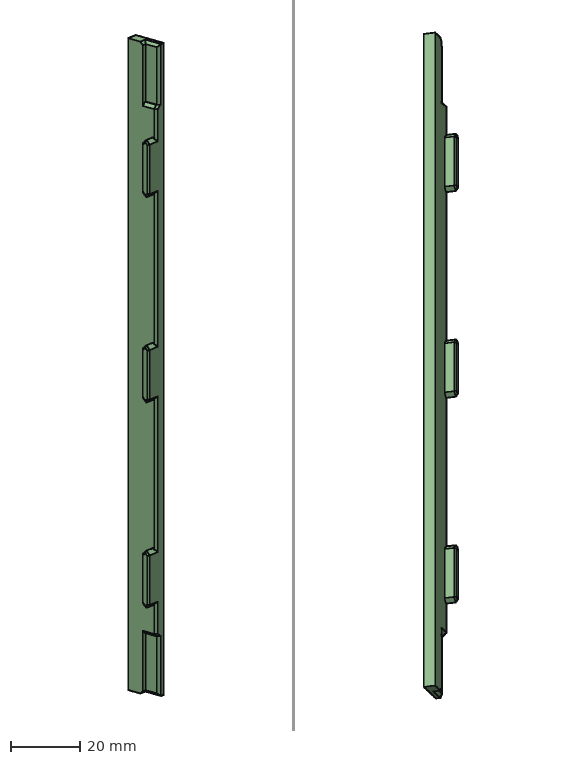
import cadquery as cq
import math

WIDTH = 10.5
LENGTH = 200.0
TOTAL_DEPTH = 7.0
STRIP_THICKNESS = 3.5
EDGE_BEVEL = 0.8

RECESS_LENGTH = 18.5
RECESS_WIDTH = 5.0
RECESS_DEPTH = 1.3
MOUTH_CHAMFER = 0.9
STEP_CHAMFER = 1.0

TAB_WIDTH = 2.5
TAB_LENGTH = 17.6
TAB_OUTER_BEVEL = 1.2
TAB_INNER_BEVEL = TAB_WIDTH - TAB_OUTER_BEVEL
TIP_CHAMFER_WIDTH = 0.45
TIP_CHAMFER_DEPTH = 0.55
TAB_PITCH = 63.0
TAB_COUNT = 3

X_LEFT = -WIDTH / 2
X_RIGHT = WIDTH / 2
X_WALL = X_RIGHT - RECESS_WIDTH
X_TAB = X_RIGHT - TAB_WIDTH
Y_BACK = TOTAL_DEPTH / 2
Y_FRONT = Y_BACK - STRIP_THICKNESS
Y_FLOOR = Y_FRONT + RECESS_DEPTH
Y_TIP = -TOTAL_DEPTH / 2
Z_END = LENGTH / 2
Z_STEP = Z_END - RECESS_LENGTH

OVERLAP = 1.0


def make_bar():
    """Full-length bar whose front +X edge is bevelled."""
    profile = [
        (X_LEFT, Y_BACK),
        (X_RIGHT, Y_BACK),
        (X_RIGHT, Y_FRONT + EDGE_BEVEL),
        (X_RIGHT - EDGE_BEVEL, Y_FRONT),
        (X_LEFT, Y_FRONT),
    ]
    return cq.Workplane("XY", origin=(0, 0, -Z_END)).polyline(profile).close().extrude(LENGTH)


def cut_section(z, x_wall, y_floor, x_bevel):
    """Wire at height z around the material to remove: a wall, a floor and a 45 degree edge bevel."""
    x_outside = X_RIGHT + OVERLAP
    y_outside = Y_FRONT - OVERLAP
    points = [
        (x_wall, y_outside),
        (x_wall, y_floor),
        (x_bevel, y_floor),
        (x_outside, y_floor + x_outside - x_bevel),
        (x_outside, y_outside),
    ]
    return cq.Wire.makePolygon([cq.Vector(x, y, z) for x, y in points], close=True)


def loft(lower, upper):
    """Straight-sided solid between two sections."""
    return cq.Workplane(cq.Solid.makeLoft([lower, upper], True))


def make_recess():
    """Cutter for the top recess: bevelled floor edge, flared mouth and a chamfered inner step."""
    x_bevel = X_RIGHT - EDGE_BEVEL
    z_mouth = Z_END - MOUTH_CHAMFER
    throat = cut_section(z_mouth, X_WALL, Y_FLOOR, x_bevel)
    body = loft(cut_section(Z_STEP, X_WALL, Y_FLOOR, x_bevel), throat)

    flared = cut_section(
        Z_END, X_WALL - MOUTH_CHAMFER, Y_FLOOR + MOUTH_CHAMFER, x_bevel + MOUTH_CHAMFER
    )
    mouth = loft(throat, flared)

    step = loft(
        cut_section(Z_STEP - STEP_CHAMFER, X_WALL, Y_FRONT, x_bevel),
        cut_section(Z_STEP, X_WALL, Y_FRONT + STEP_CHAMFER, x_bevel),
    )
    return body.union(mouth).union(step)


def make_tab(z_center):
    """Tab with ridged ends and a tip chamfered all round."""
    half_length = TAB_LENGTH / 2
    y_root = Y_FRONT + OVERLAP
    x_ridge = X_RIGHT - TAB_OUTER_BEVEL
    outline = [
        (X_RIGHT, half_length - TAB_OUTER_BEVEL),
        (x_ridge, half_length),
        (X_TAB, half_length - TAB_INNER_BEVEL),
        (X_TAB, TAB_INNER_BEVEL - half_length),
        (x_ridge, -half_length),
        (X_RIGHT, TAB_OUTER_BEVEL - half_length),
    ]
    block = cq.Workplane("XZ", origin=(0, y_root, 0)).polyline(outline).close()
    block = block.extrude(y_root - Y_TIP - TIP_CHAMFER_DEPTH)
    taper = math.degrees(math.atan2(TIP_CHAMFER_WIDTH, TIP_CHAMFER_DEPTH))
    tip = cq.Workplane("XZ", origin=(0, Y_TIP + TIP_CHAMFER_DEPTH, 0)).polyline(outline).close()
    tip = tip.extrude(TIP_CHAMFER_DEPTH, taper=taper)
    return block.union(tip).translate((0, 0, z_center))


recess = make_recess()
result = make_bar().cut(recess).cut(recess.mirror("XY"))
for index in range(TAB_COUNT):
    tab_position = (index - (TAB_COUNT - 1) / 2) * TAB_PITCH
    result = result.union(make_tab(tab_position))